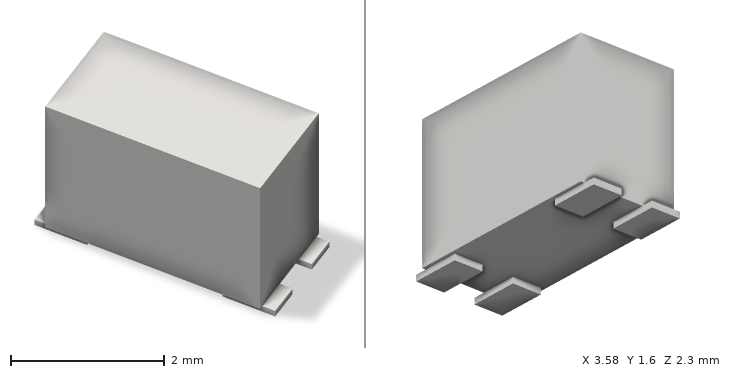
import cadquery as cq

overall_length = 3.58
overall_height = 2.3

pad_length = 0.78
pad_width = 0.48
pad_thickness = 0.1
pad_pitch_y = 1.0
pad_pitch_x = overall_length - pad_length

housing_length = 3.2
housing_width = 1.6
housing_height = overall_height - pad_thickness


def make_housing():
    """Plain block whose underside sits on top of the pads."""
    return (
        cq.Workplane("XY")
        .workplane(offset=pad_thickness)
        .rect(housing_length, housing_width)
        .extrude(housing_height)
    )


def make_pad(side_x, side_y):
    """Flat terminal in the corner given by the signs side_x and side_y."""
    return (
        cq.Workplane("XY")
        .center(side_x * pad_pitch_x / 2, side_y * pad_pitch_y / 2)
        .rect(pad_length, pad_width)
        .extrude(pad_thickness)
    )


housing = make_housing()
pads = [make_pad(side_x, side_y) for side_x in (-1, 1) for side_y in (-1, 1)]

result = cq.Compound.makeCompound([housing.val(), *[pad.val() for pad in pads]])